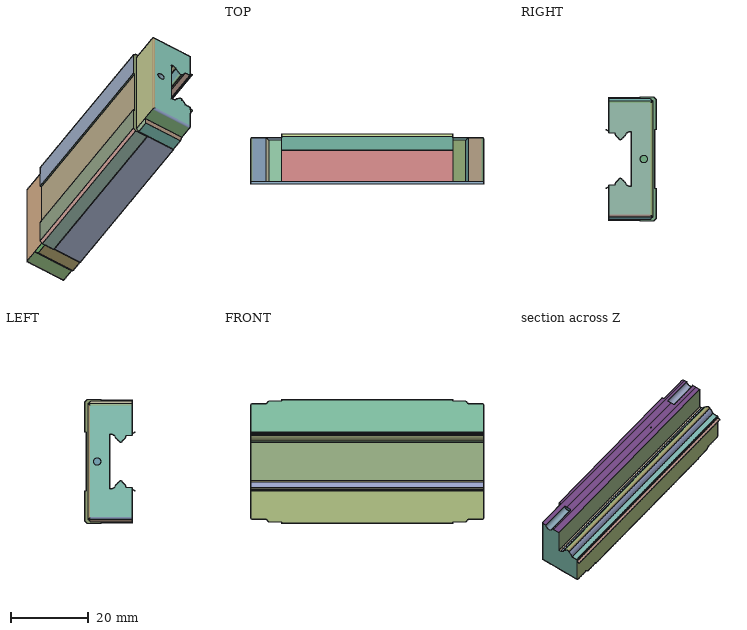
import math

import cadquery as cq


length = 60.0
width = 32.0
overall_depth = 12.96
lip_reach = 0.66
block_depth = overall_depth - lip_reach

steel_length = 44.0
steel_corner_chamfer = 0.7
flank_step = 0.2
pad_depth = 4.15
relief_width = 15.1
relief_depth = 0.4

cap_depth = 11.35
cap_width = 29.8
shoulder_width = 31.2
shoulder_length = 4.0
shoulder_bevel = 0.7
cap_edge_radius = 0.5
port_radius = 0.95
port_y = 9.05
port_depth = (length - steel_length) / 2

mouth_half = 6.63
mouth_chamfer = 0.15
floor_half = 7.0
floor_y = 5.81
raceway_root_y = 1.6
raceway_sag = 0.18
ridge_radius = 0.4
ridge_y = 3.0
crest_half = 4.93
back_slope_end_y = 4.5
ledge_half = 6.6
ledge_y = 5.3

lip_root_half = 7.14
lip_tip_half = 7.5
lip_thickness = 0.08


def extrude_along_x(profile, extent):
    """Extrude a YZ profile symmetrically about X = 0."""
    return profile.extrude(extent / 2, both=True)


def box_at_front(size_x, size_y, size_z):
    """Box centred in X and Z whose front face lies on Y = 0."""
    return cq.Workplane("XY").box(size_x, size_y, size_z, centered=(True, False, True))


def make_steel_block():
    flank_width = width - 2 * flank_step
    block = box_at_front(steel_length, block_depth, flank_width)
    pad_front = block_depth - pad_depth
    half = width / 2
    pad_outline = [
        (pad_front - flank_step, flank_width / 2),
        (pad_front, half),
        (block_depth - steel_corner_chamfer, half),
        (block_depth, half - steel_corner_chamfer),
    ]
    mirrored = [(y, -z) for y, z in reversed(pad_outline)]
    pad = extrude_along_x(cq.Workplane("YZ").polyline(pad_outline + mirrored).close(), steel_length)
    trim = box_at_front(steel_length, block_depth, width).edges("|X and >Y").chamfer(steel_corner_chamfer)
    relief = box_at_front(steel_length, relief_depth, relief_width)
    relief = relief.translate((0, block_depth - relief_depth, 0))
    return block.union(pad).intersect(trim).cut(relief)


def make_end_caps():
    """Both caps as one full-length bar; the steel block covers its middle."""
    bar = box_at_front(length, cap_depth, cap_width)
    bar = bar.faces("<X or >X").edges("not <Y").fillet(cap_edge_radius)
    shoulders = box_at_front(steel_length + 2 * shoulder_length, cap_depth, shoulder_width)
    shoulders = shoulders.edges("|Y").chamfer(shoulder_bevel)
    shoulders = shoulders.faces(">Y").edges("|X").chamfer(shoulder_bevel)
    return bar.union(shoulders)


def make_half_channel():
    """Upper half of the rail channel, from Z = 0 to the upper wall."""
    crest_centre = crest_half + ridge_radius
    diagonal = ridge_radius * math.sin(math.radians(45))
    ridge_front = (ridge_y - ridge_radius, crest_centre)
    ridge_top = (ridge_y, crest_half)
    ridge_back = (ridge_y + diagonal, crest_centre - diagonal)
    back_slope_end_half = ridge_back[1] + back_slope_end_y - ridge_back[0]
    profile = (
        cq.Workplane("YZ")
        .moveTo(0, 0)
        .lineTo(0, mouth_half + mouth_chamfer)
        .lineTo(mouth_chamfer, mouth_half)
        .lineTo(raceway_root_y, mouth_half)
        .sagittaArc(ridge_front, -raceway_sag)
        .threePointArc(ridge_top, ridge_back)
        .lineTo(back_slope_end_y, back_slope_end_half)
        .lineTo(back_slope_end_y, ledge_half)
        .lineTo(ledge_y, floor_half)
        .lineTo(floor_y, floor_half)
        .lineTo(floor_y, 0)
        .close()
    )
    return extrude_along_x(profile, length)


def make_lip():
    """Thin upper sealing lip leaning outward, rooted slightly inside the block."""
    root_y = lip_thickness
    profile = cq.Workplane("YZ").polyline([
        (root_y, lip_root_half),
        (0, lip_root_half),
        (-lip_reach, lip_tip_half),
        (-lip_reach, lip_tip_half + lip_thickness),
        (0, lip_root_half + lip_thickness),
        (root_y, lip_root_half + lip_thickness),
    ]).close()
    return extrude_along_x(profile, length)


def make_port(end):
    """Blind lubrication port in the end face on side end = -1 or +1."""
    start = cq.Vector(end * length / 2, port_y, 0)
    return cq.Workplane(cq.Solid.makeCylinder(port_radius, port_depth, start, cq.Vector(-end, 0, 0)))


body = make_end_caps().union(make_steel_block())
half_channel = make_half_channel()
body = body.cut(half_channel).cut(half_channel.mirror("XY"))
lip = make_lip()
body = body.union(lip).union(lip.mirror("XY"))
for end in (-1, 1):
    body = body.cut(make_port(end))

result = body